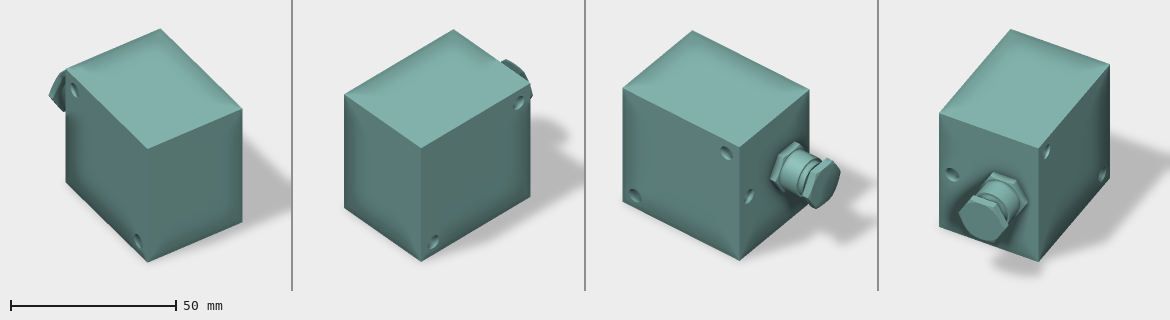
import cadquery as cq
import math

block_length = 45.0
block_width = 34.4
block_height = 45.0
mid_height = block_height / 2

mount_diameter = 4.8
mount_inset = 5.0

port_diameter = 4.15
port_mouth_diameter = 5.0
port_depth = 10.0
port_from_back = 4.6
drill_tip_angle = 118.0

fitting_y = 11.5
hex_across_flats = 14.0
hex_thickness = 2.5
hex_chamfer_angle = 20.0
barrel_diameter = 13.0
barrel_length = 6.5
collar_diameter = 11.5
collar_length = 2.0
neck_diameter = 10.0
neck_length = 1.5


def revolve_about_x(profile, y):
    """Revolve an (X, radius) profile about the X-parallel axis at y and mid height."""
    solid = cq.Workplane("XY").polyline(profile).close().revolve(360, (0, 0, 0), (1, 0, 0))
    return solid.translate((0, y, mid_height))


def hexagon_nut(inner_x):
    """Hexagon extending toward -X from inner_x, with its outer corners chamfered."""
    across_corners = hex_across_flats / math.cos(math.radians(30))
    corner_radius = across_corners / 2
    flat_radius = hex_across_flats / 2
    chamfer_length = (corner_radius - flat_radius) * math.tan(math.radians(hex_chamfer_angle))
    outer_x = inner_x - hex_thickness
    prism = (
        cq.Workplane("YZ", origin=(inner_x, fitting_y, mid_height))
        .polygon(6, across_corners)
        .extrude(-hex_thickness)
    )
    envelope = revolve_about_x(
        [
            (outer_x, 0),
            (outer_x, flat_radius),
            (outer_x + chamfer_length, corner_radius),
            (inner_x, corner_radius),
            (inner_x, 0),
        ],
        fitting_y,
    )
    return prism.intersect(envelope)


def fitting():
    """Base hexagon, stepped shank and end hexagon stacked toward -X."""
    base_hex = hexagon_nut(0)
    shank_x = -hex_thickness
    collar_x = shank_x - barrel_length
    neck_x = collar_x - collar_length
    end_hex_x = neck_x - neck_length
    shank = revolve_about_x(
        [
            (shank_x, 0),
            (shank_x, barrel_diameter / 2),
            (collar_x, barrel_diameter / 2),
            (collar_x, collar_diameter / 2),
            (neck_x, collar_diameter / 2),
            (neck_x, neck_diameter / 2),
            (end_hex_x, neck_diameter / 2),
            (end_hex_x, 0),
        ],
        fitting_y,
    )
    return base_hex.union(shank).union(hexagon_nut(end_hex_x))


def mounting_holes():
    """Through-hole cutters at the upper -X and lower +X corners."""
    centres = [
        (mount_inset, block_height - mount_inset),
        (block_length - mount_inset, mount_inset),
    ]
    return (
        cq.Workplane("XZ")
        .pushPoints(centres)
        .circle(mount_diameter / 2)
        .extrude(-block_width)
    )


def port():
    """Blind hole cutter with a 45 degree mouth chamfer and a drill-point bottom."""
    radius = port_diameter / 2
    mouth_radius = port_mouth_diameter / 2
    tip_length = radius / math.tan(math.radians(drill_tip_angle / 2))
    return revolve_about_x(
        [
            (0, 0),
            (0, mouth_radius),
            (mouth_radius - radius, radius),
            (port_depth, radius),
            (port_depth + tip_length, 0),
        ],
        block_width - port_from_back,
    )


block = cq.Workplane("XY").box(block_length, block_width, block_height, centered=False)
result = block.cut(mounting_holes()).cut(port()).union(fitting())